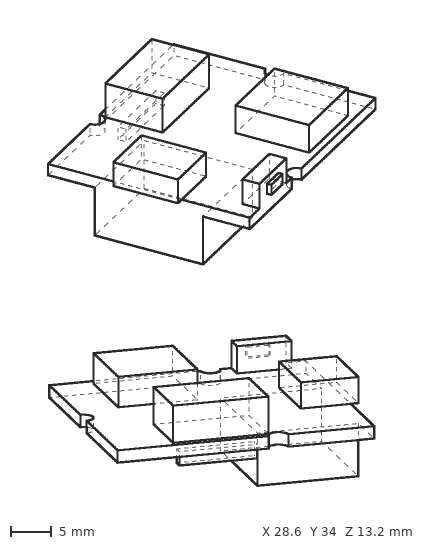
import cadquery as cq

board_width = 28.0
board_length = 33.0
board_thickness = 1.6
notch_radius = 1.25
side_notch_y = 12.3

tall_block_size = (7.95, 12.25, 4.8)
tall_block_corner = (0.9, 13.35)
square_block_size = (10.2, 10.2, 3.9)
square_block_corner = (16.83, 17.45)
port_size = (8.98, 7.4, 3.35)
port_x = 9.6
port_overhang = 1.0

switch_size = (2.35, 7.05, 3.5)
switch_y = 2.55
button_size = (0.58, 3.0, 1.43)
button_height_above_board = 1.05

connector_size = (15.03, 13.0, 6.8)
connector_x = 6.5
header_size = (1.15, 10.0, 1.8)
header_corner = (2.07, 14.4)


def block(size, x, y, z):
    """Box with its minimum corner at (x, y, z)."""
    return cq.Workplane("XY").box(*size, centered=False).translate((x, y, z))


def below_board(size, x, y):
    """Box hanging from the bottom face of the board."""
    return block(size, x, y, -board_thickness - size[2])


def make_board():
    """Plate with half-round notches in the left, right and back edges."""
    notch_centers = [
        (0, side_notch_y),
        (board_width, side_notch_y),
        (board_width / 2, board_length),
    ]
    plate = block((board_width, board_length, board_thickness), 0, 0, -board_thickness)
    notches = (
        cq.Workplane("XY")
        .pushPoints(notch_centers)
        .circle(notch_radius)
        .extrude(-board_thickness)
    )
    return plate.cut(notches)


def make_switch():
    """Switch body with a button centred along its length."""
    body = block(switch_size, board_width - switch_size[0], switch_y, 0)
    button_y = switch_y + (switch_size[1] - button_size[1]) / 2
    button = block(button_size, board_width, button_y, button_height_above_board)
    return body.union(button)


components = [
    block(tall_block_size, *tall_block_corner, 0),
    block(square_block_size, *square_block_corner, 0),
    block(port_size, port_x, -port_overhang, 0),
    make_switch(),
    below_board(connector_size, connector_x, 0),
    below_board(header_size, *header_corner),
]

result = make_board()
for component in components:
    result = result.union(component)